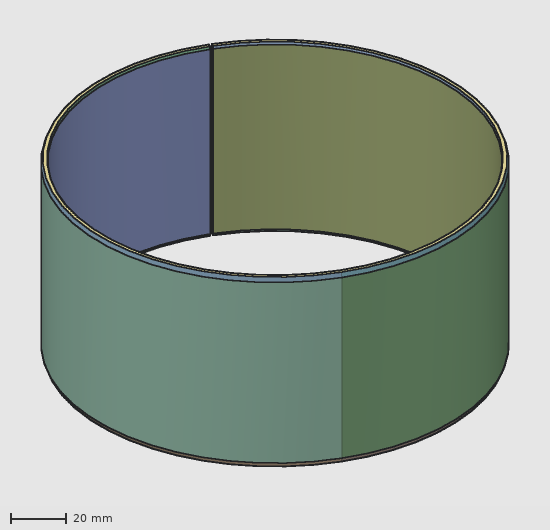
import cadquery as cq

outer_diameter = 170.0
wall = 2.5
height = 80.0
slit_width = 1.2
outer_chamfer_length = 1.9
outer_chamfer_depth = 0.7
inner_chamfer_length = 1.0
inner_chamfer_depth = 0.3

outer_radius = outer_diameter / 2
inner_radius = outer_radius - wall
half_height = height / 2


def make_ring():
    """Revolve the wall section, chamfered at all four corners, around Z."""
    chamfered_outer_radius = outer_radius - outer_chamfer_depth
    chamfered_inner_radius = inner_radius + inner_chamfer_depth
    outer_shoulder = half_height - outer_chamfer_length
    inner_shoulder = half_height - inner_chamfer_length
    section = [
        (outer_radius, -outer_shoulder),
        (outer_radius, outer_shoulder),
        (chamfered_outer_radius, half_height),
        (chamfered_inner_radius, half_height),
        (inner_radius, inner_shoulder),
        (inner_radius, -inner_shoulder),
        (chamfered_inner_radius, -half_height),
        (chamfered_outer_radius, -half_height),
    ]
    return cq.Workplane("XZ").polyline(section).close().revolve(360, (0, 0), (0, 1))


def make_slit():
    """Block that cuts through the wall on the -X side only."""
    return (
        cq.Workplane("XY")
        .box(outer_radius, slit_width, height, centered=(False, False, True))
        .translate((-outer_radius, 0, 0))
    )


result = make_ring().cut(make_slit())